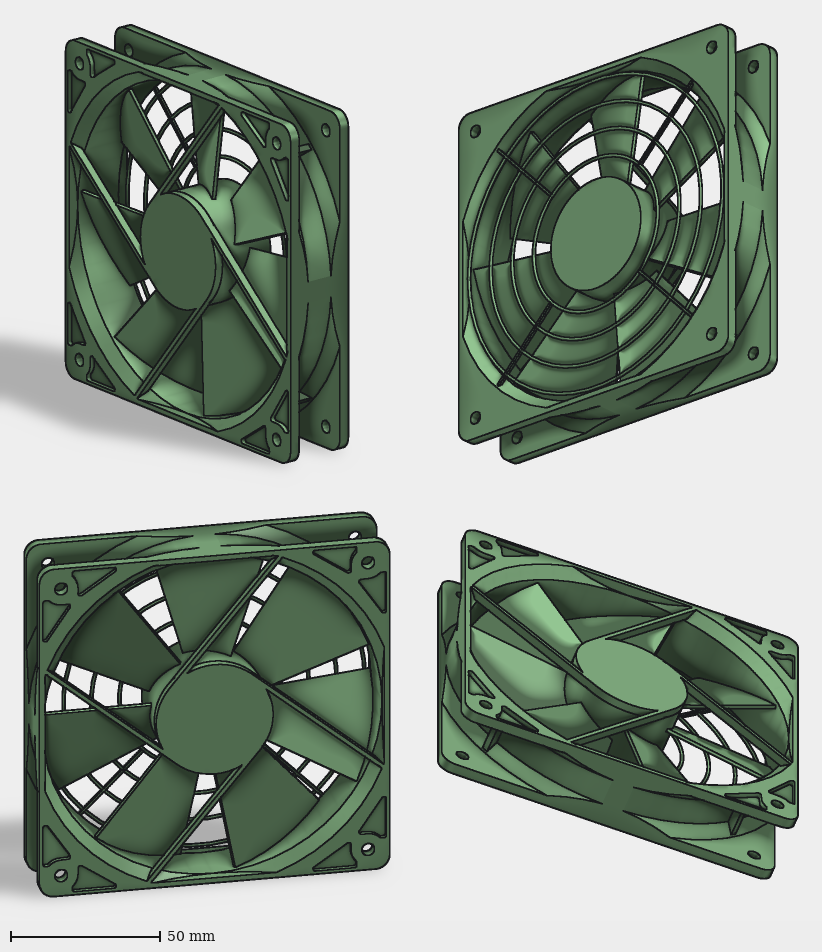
import cadquery as cq
import math


side = 120.0
depth = 25.0
corner_radius = 5.0
flange_thickness = 3.7

bore_radius = 58.1
waist_radius = 60.1
waist_flare = 3.8

screw_offset = 52.5
screw_diameter = 4.3

rib_width = 2.3
rib_tip_radius = 63.4

pocket_depth = 1.8
pocket_margin = 1.2
pocket_far_end = 31.8
pocket_near_end = 48.7
pocket_inner_corner = 46.7
pocket_lowest_point = 48.7
pocket_screw_clearance = 5.8
pocket_fillet = 0.8

motor_plate_radius = 20.0
motor_plate_thickness = 3.0
strut_count = 4
strut_width = 1.5
strut_angle = 50.5
strut_edge_inset = 1.0

hub_rear = 11.3
blade_count = 7
first_blade_angle = 90.0
blade_tip_radius = 57.6
blade_pitch = 22.5
blade_thickness = 1.2
blade_half_width_at_axis = 2.4
blade_half_width_at_tip = 18.5

ring_count = 4
first_ring_radius = 27.6
ring_pitch = 9.6
wire_diameter = 1.1
guard_middle = 11.3
spoke_count = 4
first_spoke_angle = 45.0
spoke_width = 1.0

front = -depth / 2
rear = depth / 2
flange_inside = rear - flange_thickness
waist_half_length = flange_inside - waist_flare
mouth_radius = bore_radius + flange_thickness
motor_plate_rear = front + motor_plate_thickness
hub_radius = motor_plate_radius


def across_axis(y):
    """Workplane across the fan axis: local axes X and Z, normal towards the front."""
    return cq.Workplane("XZ", origin=(0, y, 0))


def block(width, y_start, y_end):
    """Square block centred on the fan axis."""
    return across_axis(y_end).rect(width, width).extrude(y_end - y_start)


def cylinder(radius, y_start, y_end):
    return across_axis(y_end).circle(radius).extrude(y_end - y_start)


def turned(profile):
    """Revolve (radius, y) points around the fan axis."""
    return cq.Workplane("XY").polyline(profile).close().revolve(360, (0, 0, 0), (0, 1, 0))


def around_axis(shape, angle):
    """Turn a shape about the fan axis, counter-clockwise when looking at the front."""
    return shape.rotate((0, 0, 0), (0, -1, 0), angle)


def flange(y_start):
    plate = block(side, y_start, y_start + flange_thickness)
    return plate.edges("|Y").fillet(corner_radius)


def duct_outside():
    """Waist that flares at 45 degrees towards both flanges, trimmed to the square outline."""
    flared_radius = waist_radius + waist_flare
    body = turned(
        [
            (0, -flange_inside),
            (flared_radius, -flange_inside),
            (waist_radius, -waist_half_length),
            (waist_radius, waist_half_length),
            (flared_radius, flange_inside),
            (0, flange_inside),
        ]
    )
    return body.intersect(block(side, -flange_inside, flange_inside))


def corner_rib(angle):
    """Web between the flanges, from the duct wall out towards a corner."""
    rib = (
        across_axis(flange_inside)
        .center((bore_radius + rib_tip_radius) / 2, 0)
        .rect(rib_tip_radius - bore_radius, rib_width)
        .extrude(2 * flange_inside)
    )
    return around_axis(rib, angle)


def front_mouth():
    """Conical mouth, flattened along the four sides so that it stays inside the flange."""
    cone = turned(
        [
            (0, front),
            (mouth_radius, front),
            (bore_radius, -flange_inside),
            (0, -flange_inside),
        ]
    )
    return cone.intersect(block(2 * bore_radius, front, -flange_inside))


def screw_holes():
    square = 2 * screw_offset
    return (
        across_axis(rear)
        .rect(square, square, forConstruction=True)
        .vertices()
        .circle(screw_diameter / 2)
        .extrude(depth)
    )


def point_around_screw(angle):
    """Point at the pocket clearance from the +X +Z screw axis."""
    return (
        screw_offset + pocket_screw_clearance * math.cos(angle),
        screw_offset + pocket_screw_clearance * math.sin(angle),
    )


def corner_pocket():
    """Pocket along the top edge, beside the +X +Z screw hole."""
    outer_edge = side / 2 - pocket_margin
    arc_start = math.acos((pocket_near_end - screw_offset) / pocket_screw_clearance)
    arc_end = math.pi
    if pocket_screw_clearance > screw_offset - pocket_inner_corner:
        arc_end = math.acos((pocket_inner_corner - screw_offset) / pocket_screw_clearance)
    return (
        across_axis(front + pocket_depth)
        .moveTo(pocket_far_end, outer_edge)
        .lineTo(pocket_near_end, outer_edge)
        .lineTo(*point_around_screw(arc_start))
        .threePointArc(point_around_screw((arc_start + arc_end) / 2), point_around_screw(arc_end))
        .lineTo(pocket_inner_corner, pocket_lowest_point)
        .close()
        .extrude(pocket_depth)
        .edges("|Y")
        .fillet(pocket_fillet)
    )


def strut(angle):
    """Bar whose outer side is tangent to the motor plate; it ends inside the flange."""
    bar = (
        across_axis(motor_plate_rear)
        .center(mouth_radius / 2, motor_plate_radius - strut_width / 2)
        .rect(mouth_radius, strut_width)
        .extrude(motor_plate_thickness)
    )
    limits = block(side - 2 * strut_edge_inset, front, motor_plate_rear)
    return around_axis(bar, angle).intersect(limits)


def make_frame():
    frame = duct_outside().union(flange(front)).union(flange(flange_inside))
    for corner in range(4):
        frame = frame.union(corner_rib(45 + 90 * corner))

    mouth = front_mouth()
    frame = frame.cut(cylinder(bore_radius, front, rear))
    frame = frame.cut(mouth).cut(mouth.mirror("XZ"))
    frame = frame.cut(screw_holes())

    pocket = corner_pocket()
    mirrored_pocket = pocket.mirror("YZ")
    for corner in range(4):
        frame = frame.cut(around_axis(pocket, 90 * corner))
        frame = frame.cut(around_axis(mirrored_pocket, 90 * corner))

    frame = frame.union(cylinder(motor_plate_radius, front, motor_plate_rear))
    for index in range(strut_count):
        frame = frame.union(strut(strut_angle + index * 360 / strut_count))
    return frame


def blade(angle):
    """Flat plate that widens outwards, pitched about its centre line and trimmed at the tip."""
    stretch = 1 / math.cos(math.radians(blade_pitch))
    root = blade_half_width_at_axis * stretch
    tip = blade_half_width_at_tip * stretch
    plate = (
        across_axis(blade_thickness / 2)
        .polyline([(0, -root), (blade_tip_radius, -tip), (blade_tip_radius, tip), (0, root)])
        .close()
        .extrude(blade_thickness)
        .rotate((0, 0, 0), (1, 0, 0), -blade_pitch)
    )
    swept_space = cylinder(blade_tip_radius, motor_plate_rear, hub_rear)
    return around_axis(plate.intersect(swept_space), angle)


def make_rotor():
    rotor = cylinder(hub_radius, motor_plate_rear, hub_rear)
    for index in range(blade_count):
        rotor = rotor.union(blade(first_blade_angle + index * 360 / blade_count))
    return rotor


def guard_ring(radius):
    wire = cq.Workplane("XY").center(radius, guard_middle).circle(wire_diameter / 2)
    return wire.revolve(360, (-radius, 0), (-radius, 1))


def spoke(angle):
    bar = (
        cq.Workplane("YZ", origin=(first_ring_radius, guard_middle, 0))
        .rect(spoke_width, spoke_width)
        .extrude(mouth_radius - first_ring_radius)
    )
    return around_axis(bar, angle)


def make_guard(frame):
    """Rings and spokes; the spokes end on the wall of the rear mouth."""
    guard = guard_ring(first_ring_radius)
    for index in range(spoke_count):
        guard = guard.union(spoke(first_spoke_angle + index * 360 / spoke_count))
    for index in range(1, ring_count):
        guard = guard.union(guard_ring(first_ring_radius + index * ring_pitch))
    return guard.cut(frame)


frame = make_frame()
rotor = make_rotor()
guard = make_guard(frame)

result = cq.Compound.makeCompound([frame.val(), rotor.val(), guard.val()])